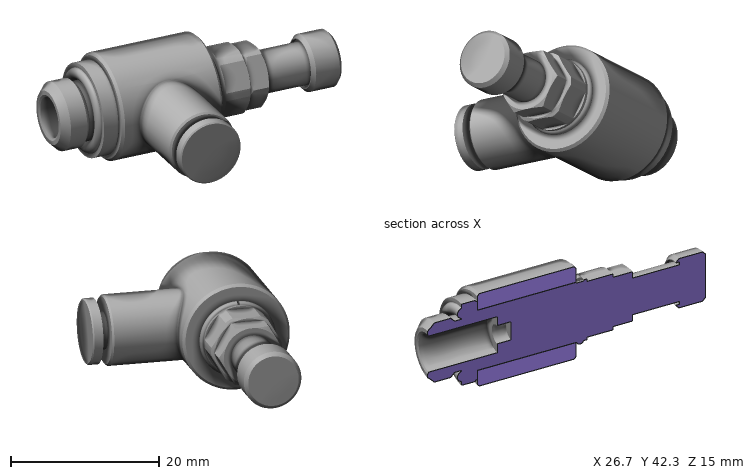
import cadquery as cq
import math

thread_end_y = 0.0
thread_shoulder_y = 3.5
gasket_y = 4.5
flange_y = 5.15
flange_back_y = 7.3
housing_start_y = 7.5
housing_end_y = 22.6
collar_start_y = 23.75
hex_start_y = 24.25
nut_start_y = 28.17
nut_end_y = 31.15
knob_start_y = 37.68
knob_end_y = 42.25

overall_width = 26.7
housing_radius = 7.498
housing_chamfer = 0.36
port_radius = 4.85
port_end_x = 16.6
port_chamfer = 0.25
port_fillet = 0.2
collet_stem_radius = 2.58
collet_start_x = 17.8
collet_end_x = overall_width - housing_radius
collet_radius = 4.5
collet_chamfer = 0.15
collet_fillet = 0.13
port_y = (housing_start_y + housing_end_y) / 2

thread_radius = 4.8
thread_end_chamfer = 1.05
thread_neck_radius = 4.2
gasket_section_radius = 0.91
flange_radius = 6.6
flange_step_radius = 6.38
core_radius = thread_radius
seal_ring_radius = 5.32
seal_ring_gap = 0.35
collar_radius = 4.95
stem_radius = 3.0
knob_radius = 4.0
knob_chamfer = 0.5
knob_recess_radius = 3.4
knob_recess_depth = 0.5

body_hex_flats = 9.1
body_hex_chamfer = 0.3
nut_flats = 8.03
hex_cone_angle = math.radians(30)

bore_radius = 2.87
bore_mouth_radius = 3.15
bore_mouth_depth = 0.15
bore_depth = 10.55
orifice_radius = 1.45
orifice_depth = 12.67


def cylinder_y(radius, start, end):
    """Cylinder on the valve axis between two Y stations."""
    return cq.Workplane("XZ", origin=(0, start, 0)).circle(radius).extrude(start - end)


def cylinder_x(radius, start, end):
    """Cylinder on the port axis between two X stations."""
    return cq.Workplane("YZ", origin=(start, port_y, 0)).circle(radius).extrude(end - start)


def hexagon_y(flats, start, end):
    """Hexagonal bar on the valve axis with two flats facing up and down."""
    corner_diameter = flats / math.cos(math.pi / 6)
    return cq.Workplane("XZ", origin=(0, start, 0)).polygon(6, corner_diameter).extrude(start - end)


def revolve_y(profile):
    """Turn a closed (radius, Y) profile about the valve axis."""
    return profile.close().revolve(360, (0, 0, 0), (0, 1, 0))


def make_housing():
    """Barrel with the push-in port and its collet, bored through for the valve stem."""
    barrel = cylinder_y(housing_radius, housing_start_y, housing_end_y)
    barrel = barrel.faces("<Y or >Y").chamfer(housing_chamfer)
    port = cylinder_x(port_radius, 0, port_end_x).faces(">X").chamfer(port_chamfer)
    blend_point = (math.sqrt(housing_radius**2 - port_radius**2), port_y, port_radius)
    housing = barrel.union(port)
    housing = housing.edges(cq.selectors.NearestToPointSelector(blend_point)).fillet(port_fillet)
    collet = cylinder_x(collet_radius, collet_start_x, collet_end_x)
    collet = collet.faces(">X").chamfer(collet_chamfer)
    collet = collet.union(cylinder_x(collet_stem_radius, port_end_x, collet_start_x))
    stem_root = cq.selectors.RadiusNthSelector(0)
    collet = collet.faces(">X[1]").edges(stem_root).fillet(collet_fillet)
    stem_hole = cylinder_y(core_radius, housing_start_y, housing_end_y)
    return housing.union(collet).cut(stem_hole)


def make_threaded_end():
    """Threaded end with chamfered ends, a neck and the flange under the housing."""
    neck_y = thread_shoulder_y + thread_radius - thread_neck_radius
    end = revolve_y(
        cq.Workplane("XY")
        .moveTo(0, thread_end_y)
        .lineTo(thread_radius - thread_end_chamfer, thread_end_y)
        .lineTo(thread_radius, thread_end_y + thread_end_chamfer)
        .lineTo(thread_radius, thread_shoulder_y)
        .lineTo(thread_neck_radius, neck_y)
        .lineTo(thread_neck_radius, flange_y)
        .lineTo(0, flange_y)
    )
    flange = cylinder_y(flange_radius, flange_y, flange_back_y)
    step = cylinder_y(flange_step_radius, flange_back_y, housing_start_y)
    return end.union(flange).union(step)


def make_gasket():
    """Ring of round section seated on the neck and part sunk into the flange."""
    section_y = gasket_y + gasket_section_radius
    section_center = thread_neck_radius + gasket_section_radius
    outer_radius = section_center + gasket_section_radius
    return revolve_y(
        cq.Workplane("XY")
        .moveTo(thread_neck_radius, section_y)
        .threePointArc((section_center, gasket_y), (outer_radius, section_y))
    )


def make_seal_ring():
    """Rounded ring beside the housing, split by a narrow gap at the top."""
    half_height = (collar_start_y - housing_end_y) / 2
    seat_radius = seal_ring_radius - half_height
    ring = revolve_y(
        cq.Workplane("XY")
        .moveTo(0, housing_end_y)
        .lineTo(seat_radius, housing_end_y)
        .threePointArc(
            (seal_ring_radius, housing_end_y + half_height),
            (seat_radius, collar_start_y),
        )
        .lineTo(0, collar_start_y)
    )
    gap_origin = (0, housing_end_y, 0)
    gap = cq.Workplane("XY", origin=gap_origin).box(
        seal_ring_gap, 2 * half_height, seal_ring_radius, centered=(True, False, False)
    )
    seat = cylinder_y(seat_radius, housing_end_y, collar_start_y)
    return ring.cut(gap).union(seat)


def make_body_hex():
    """Hexagon with corners turned down to the collar diameter."""
    collar = cylinder_y(collar_radius, collar_start_y, nut_start_y)
    collar = collar.faces(">Y").chamfer(body_hex_chamfer, body_hex_chamfer / math.tan(hex_cone_angle))
    flats_start = cylinder_y(collar_radius, collar_start_y, hex_start_y)
    return collar.intersect(hexagon_y(body_hex_flats, hex_start_y, nut_start_y)).union(flats_start)


def make_lock_nut():
    """Hexagon nut with both ends coned down to its flats."""
    corner_radius = nut_flats / 2 / math.cos(math.pi / 6)
    cone_width = corner_radius - nut_flats / 2
    cone_height = cone_width * math.tan(hex_cone_angle)
    cones = cylinder_y(corner_radius, nut_start_y, nut_end_y)
    cones = cones.faces("<Y").chamfer(cone_height, cone_width)
    cones = cones.faces(">Y").chamfer(cone_height, cone_width)
    return hexagon_y(nut_flats, nut_start_y, nut_end_y).intersect(cones)


def make_knob():
    """Adjusting knob on its stem, hollowed around the stem on the lower face."""
    knob = cylinder_y(knob_radius, knob_start_y, knob_end_y)
    recess = cylinder_y(knob_recess_radius, knob_start_y, knob_start_y + knob_recess_depth)
    stem = cylinder_y(stem_radius, nut_end_y, knob_end_y)
    return knob.faces("<Y or >Y").chamfer(knob_chamfer).cut(recess).union(stem)


def make_flow_passage():
    """Stepped bore, entered through a countersunk mouth."""
    bore = cylinder_y(bore_radius, thread_end_y, bore_depth)
    mouth = revolve_y(
        cq.Workplane("XY")
        .moveTo(0, thread_end_y)
        .lineTo(bore_mouth_radius, thread_end_y)
        .lineTo(bore_radius, thread_end_y + bore_mouth_depth)
        .lineTo(0, thread_end_y + bore_mouth_depth)
    )
    orifice = cylinder_y(orifice_radius, bore_depth, orifice_depth)
    return bore.union(mouth).union(orifice)


def make_valve_stem():
    """All turned and hexagonal sections of the stem, with the flow passage cut."""
    stem = cylinder_y(core_radius, housing_start_y, housing_end_y)
    for section in (
        make_threaded_end(),
        make_gasket(),
        make_seal_ring(),
        make_body_hex(),
        make_lock_nut(),
        make_knob(),
    ):
        stem = stem.union(section)
    return stem.cut(make_flow_passage())


housing = make_housing()
valve_stem = make_valve_stem()
result = cq.Compound.makeCompound([housing.solids().val(), valve_stem.solids().val()])